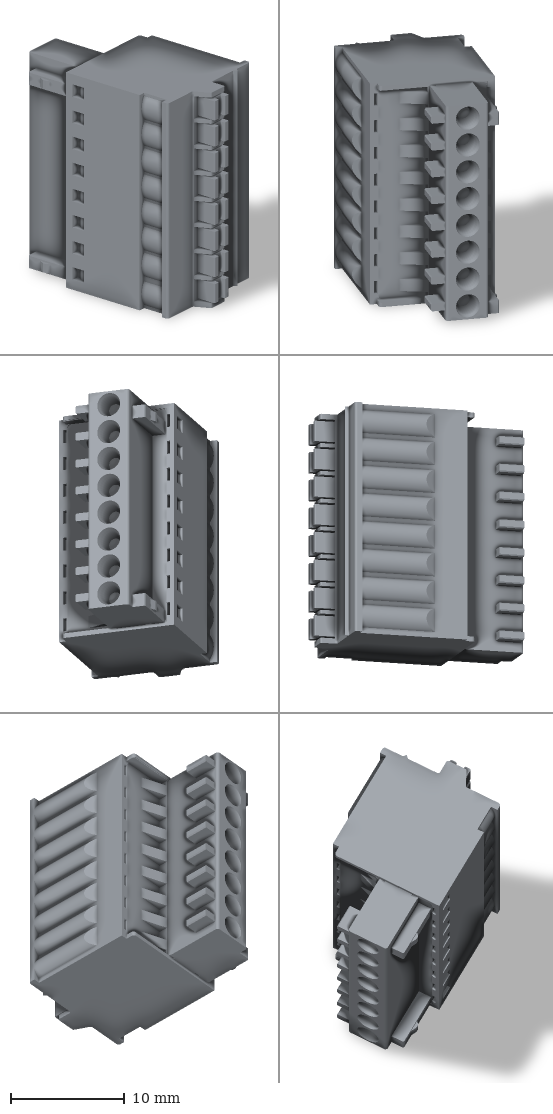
import cadquery as cq
import math


POLE_COUNT = 8
POLE_SPAN = 17.49
PITCH = POLE_SPAN / (POLE_COUNT - 1)
POLE_Z = [(i - (POLE_COUNT - 1) / 2) * PITCH for i in range(POLE_COUNT)]

HEIGHT = 20.6
HOUSING_LEFT = 5.8
HOUSING_RIGHT = 17.18
DEPTH = 11.75
BACK_WALL = 11.12
SHOULDER_X = 6.72
SHOULDER_Y = 10.5
LIP_LEFT = 16.52
LIP_FILLET = 0.23
SHOULDER_FILLET = 0.29

TONGUE_END = 18.7
TONGUE_FRONT = 3.52
TONGUE_CORNER_Y = 4.26
TONGUE_BACK = 6.2
TONGUE_FILLET = 0.16
TONGUE_BASE_FILLET = 0.2

LEVER_END = 19.2
LEVER_FRONT = 4.1
LEVER_BACK = 6.12
LEVER_HEIGHT = 1.83
LEVER_SLOT_HEIGHT = 2.16
LEVER_SLOT_LEFT = 17.3
PRONG_WIDTH = 0.6
LEVER_FILLET = 0.12

RIDGE_FRONT = 9.31
RIDGE_TIP_Y = 9.58
RIDGE_BACK = 9.8
RIDGE_TIP_X = 17.47

CAVITY_FRONT = 0.65
CAVITY_BACK = 10.45
CAVITY_HEIGHT = 19.85
CAVITY_FILLET = 0.37
CAVITY_STEP = 0.08
STEP_X = 5.87
PLUG_FLANGE_X = 5.93
PLUG_FLANGE_BACK = 6.08
CAVITY_FLOOR_X = 6.8

GUSSET_BACK = 8.43
GUSSET_HEIGHT = 1.11

WINDOW_HEIGHT = 1.2
WINDOW_LEFT = 6.55
WINDOW_RIGHT = 7.83
WINDOW_DEPTH = 0.4
RAMP_LEFT = 6.72
RAMP_RIGHT = 7.23
NOTCH_BACK = 10.75
NOTCH_LENGTH = 0.62

GROOVE_LEFT = 14.03
GROOVE_DEPTH = 0.64
FRONT_BUMP_CHORD = 2.25
FRONT_BUMP_RISE = 0.35
FRONT_BUMP_SHIFT = 0.12
BACK_BUMP_CHORD = 2.1
BACK_BUMP_FOOT_X = 9.66
BACK_BUMP_TOP_X = 10.63

PLUG_FRONT = 2.1
PLUG_BACK = 5.95
PLUG_HEIGHT = 20.0
PLUG_END = 5.65
PLUG_KEY_FRONT = 2.68
PLUG_KEY_BACK = 5.4
PLUG_FILLET = 0.25
HOLE_Y = 3.98
HOLE_MOUTH_RADIUS = 1.07
HOLE_END_RADIUS = 0.58
HOLE_DEPTH = 1.65

FIN_LEFT = 0.33
FIN_RIGHT = 2.6
FIN_BACK = 7.23
FIN_HEIGHT = 0.72
FIN_CHAMFER = 0.1

BAR_LEFT = 0.9
BAR_FRONT = 0.89
BAR_HEIGHT = 1.17
UPPER_BAR_Z = 8.12
BAR_CHAMFER = 0.1
DETENT_LEFT = 2.22
DETENT_TIP_LEFT = 2.76
DETENT_TIP_RIGHT = 3.1
DETENT_RIGHT = 3.35
DETENT_TIP_Y = 0.62
DETENT_HEIGHT = 0.87


def box(x0, x1, y0, y1, height, z_mid=0.0):
    """Box between X and Y limits, centred on z_mid."""
    size_x = x1 - x0
    size_y = y1 - y0
    return cq.Workplane("XY").box(size_x, size_y, height).translate((x0 + size_x / 2, y0 + size_y / 2, z_mid))


def prism(points, height, z_mid=0.0):
    """Extrusion along Z of an XY outline, centred on z_mid."""
    return cq.Workplane("XY").polyline(points).close().extrude(height / 2, both=True).translate((0, 0, z_mid))


def bump(x0, x1, base_y, tip_y, chord, z_mid):
    """Circular segment on a flat base, running along X."""
    half = chord / 2
    return (
        cq.Workplane("YZ", origin=(x0, 0, z_mid))
        .moveTo(base_y, -half)
        .threePointArc((tip_y, 0), (base_y, half))
        .close()
        .extrude(x1 - x0)
    )


def fillet_corners(body, x, y_values, radius):
    """Round the full-height edges standing at the given X and Y places."""
    for y in y_values:
        body = body.edges(cq.selectors.NearestToPointSelector((x, y, 0))).fillet(radius)
    return body


def housing_body():
    body = prism(
        [
            (HOUSING_LEFT, 0),
            (HOUSING_RIGHT, 0),
            (HOUSING_RIGHT, TONGUE_FRONT),
            (TONGUE_END, TONGUE_CORNER_Y),
            (TONGUE_END, TONGUE_BACK),
            (HOUSING_RIGHT, TONGUE_BACK),
            (HOUSING_RIGHT, DEPTH),
            (LIP_LEFT, DEPTH),
            (LIP_LEFT, BACK_WALL),
            (SHOULDER_X, BACK_WALL),
            (SHOULDER_X, SHOULDER_Y),
            (HOUSING_LEFT, SHOULDER_Y),
        ],
        HEIGHT,
    )
    body = fillet_corners(body, HOUSING_RIGHT, (0, DEPTH), LIP_FILLET)
    body = fillet_corners(body, HOUSING_RIGHT, (TONGUE_FRONT, TONGUE_BACK), TONGUE_BASE_FILLET)
    body = fillet_corners(body, TONGUE_END, (TONGUE_CORNER_Y, TONGUE_BACK), TONGUE_FILLET)
    return fillet_corners(body, HOUSING_LEFT, (SHOULDER_Y,), SHOULDER_FILLET)


def lever_slot(z):
    """Gap across the tongue that leaves ribs between the levers."""
    return box(LEVER_SLOT_LEFT, TONGUE_END, TONGUE_FRONT, TONGUE_BACK, LEVER_SLOT_HEIGHT, z)


def lever(z):
    """Release lever ending in two rounded prongs."""
    body = box(HOUSING_RIGHT, TONGUE_END, LEVER_FRONT, LEVER_BACK, LEVER_HEIGHT, z)
    for y in (LEVER_FRONT, LEVER_BACK - PRONG_WIDTH):
        prong = box(HOUSING_RIGHT, LEVER_END, y, y + PRONG_WIDTH, LEVER_HEIGHT, z)
        body = body.union(prong.edges("|Z").edges(">X").fillet(LEVER_FILLET))
    return body


def cavity():
    """Stepped mating opening, shallow around the plug flange and open at the back shoulder."""
    rim = box(HOUSING_LEFT, STEP_X, CAVITY_FRONT, CAVITY_BACK, CAVITY_HEIGHT)
    inner_front = CAVITY_FRONT + CAVITY_STEP
    inner_back = CAVITY_BACK - CAVITY_STEP
    inner_height = CAVITY_HEIGHT - 2 * CAVITY_STEP
    inner = box(HOUSING_LEFT, CAVITY_FLOOR_X, inner_front, inner_back, inner_height)
    inner = inner.edges("|X").fillet(CAVITY_FILLET)
    inner = inner.cut(box(PLUG_FLANGE_X, CAVITY_FLOOR_X, 0, PLUG_FLANGE_BACK, HEIGHT))
    shoulder = box(HOUSING_LEFT, SHOULDER_X, inner_back - CAVITY_FILLET, SHOULDER_Y, inner_height)
    return rim.union(inner).union(shoulder)


def gusset(z):
    return prism(
        [
            (CAVITY_FLOOR_X, PLUG_FLANGE_BACK),
            (CAVITY_FLOOR_X, GUSSET_BACK),
            (PLUG_FLANGE_X, PLUG_FLANGE_BACK),
        ],
        GUSSET_HEIGHT,
        z,
    )


def latch_window(z):
    """Front window with a ramp inside, met by a tapered lead-in from the mating face."""
    return prism(
        [
            (WINDOW_LEFT, 0),
            (WINDOW_RIGHT, 0),
            (WINDOW_RIGHT, WINDOW_DEPTH),
            (RAMP_RIGHT, WINDOW_DEPTH),
            (RAMP_LEFT, CAVITY_FRONT + CAVITY_STEP),
            (HOUSING_LEFT, CAVITY_FRONT + CAVITY_STEP),
            (HOUSING_LEFT, WINDOW_DEPTH),
            (WINDOW_LEFT, CAVITY_FRONT),
        ],
        WINDOW_HEIGHT,
        z,
    )


def back_notch(z):
    return box(SHOULDER_X, SHOULDER_X + NOTCH_LENGTH, CAVITY_BACK, NOTCH_BACK, WINDOW_HEIGHT, z)


def back_bumps():
    """Bumps on the back wall, all cut off by one sloped plane."""
    slope = prism(
        [(BACK_BUMP_FOOT_X, BACK_WALL), (BACK_BUMP_TOP_X, DEPTH), (BACK_BUMP_FOOT_X, DEPTH)],
        HEIGHT,
    )
    bumps = cq.Workplane("XY")
    for z in POLE_Z:
        bumps = bumps.add(bump(BACK_BUMP_FOOT_X, LIP_LEFT, BACK_WALL, DEPTH, BACK_BUMP_CHORD, z).cut(slope))
    return bumps.combine()


def plug():
    body = box(0, PLUG_END, PLUG_FRONT, PLUG_BACK, PLUG_HEIGHT)
    body = body.edges("|Z").edges("<X").fillet(PLUG_FILLET)
    core = box(PLUG_END, PLUG_FLANGE_X, PLUG_FRONT, PLUG_BACK, CAVITY_HEIGHT)
    key = box(PLUG_END, PLUG_FLANGE_X, PLUG_KEY_FRONT, PLUG_KEY_BACK, PLUG_HEIGHT)
    return body.union(core).union(key)


def plug_hole(z):
    """Tapered wire or pin entry."""
    slope = (HOLE_MOUTH_RADIUS - HOLE_END_RADIUS) / HOLE_DEPTH
    return (
        cq.Workplane("YZ", origin=(0, HOLE_Y, z))
        .circle(HOLE_MOUTH_RADIUS)
        .extrude(HOLE_DEPTH, taper=math.degrees(math.atan(slope)))
    )


def fin(z):
    body = box(FIN_LEFT, FIN_RIGHT, PLUG_BACK, FIN_BACK, FIN_HEIGHT, z)
    return body.edges("|X").edges(">Y").chamfer(FIN_CHAMFER)


def latch_bar(z):
    """Bar beside the plug with a snap detent on its front."""
    bar = box(BAR_LEFT, PLUG_FLANGE_X, BAR_FRONT, PLUG_FRONT, BAR_HEIGHT, z)
    bar = bar.edges("|Z").edges("<X").edges("<Y").chamfer(BAR_CHAMFER)
    detent = prism(
        [
            (DETENT_LEFT, BAR_FRONT),
            (DETENT_TIP_LEFT, DETENT_TIP_Y),
            (DETENT_TIP_RIGHT, DETENT_TIP_Y),
            (DETENT_RIGHT, BAR_FRONT),
        ],
        DETENT_HEIGHT,
        z,
    )
    return bar.union(detent)


result = housing_body().cut(cavity())
result = result.cut(box(GROOVE_LEFT, LIP_LEFT, 0, GROOVE_DEPTH, HEIGHT))
for z in POLE_Z:
    result = result.union(gusset(z)).cut(latch_window(z)).cut(back_notch(z))

result = result.union(back_bumps())
bump_tip = GROOVE_DEPTH - FRONT_BUMP_RISE
for z in POLE_Z:
    shift = -FRONT_BUMP_SHIFT if z == POLE_Z[0] else FRONT_BUMP_SHIFT
    front_bump = bump(GROOVE_LEFT, LIP_LEFT, GROOVE_DEPTH, bump_tip, FRONT_BUMP_CHORD, z + shift)
    result = result.union(front_bump).cut(lever_slot(z)).union(lever(z))
ridge_outline = [(HOUSING_RIGHT, RIDGE_FRONT), (RIDGE_TIP_X, RIDGE_TIP_Y), (HOUSING_RIGHT, RIDGE_BACK)]
result = result.union(prism(ridge_outline, HEIGHT))

result = result.union(plug())
lower_bar_z = (BAR_HEIGHT - PLUG_HEIGHT) / 2
for z in (lower_bar_z, UPPER_BAR_Z):
    result = result.union(latch_bar(z))
for z in POLE_Z:
    result = result.union(fin(z)).cut(plug_hole(z))